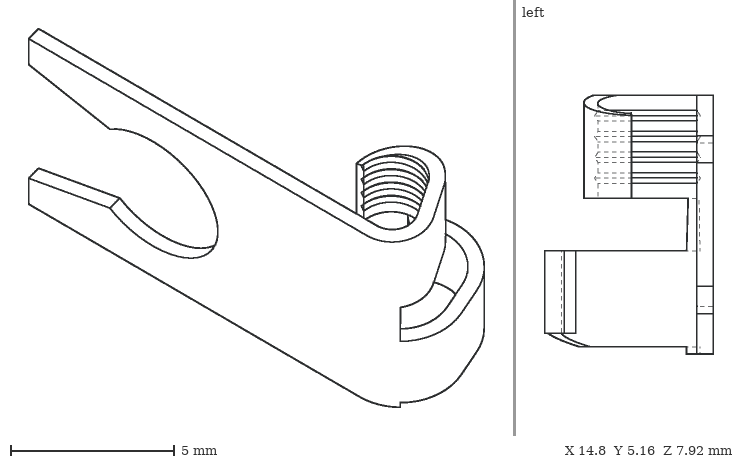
import cadquery as cq
import math

length = 14.78
height = 7.92
thickness = 0.5
mid_z = height / 2

hole_radius = 2.5
hole_x = 4.76
mouth_half_height = 2.72
throat_x = 3.12

clip_height = 3.16
upper_z = height - clip_height
root_x = 8.87

stub_end_x = 13.94

lower_bend_radius = 1.6
lower_bend_x = length - lower_bend_radius - thickness
lower_lean = 9.6
lower_straight = 1.0
lower_crest = 5.16
lower_tip_angle = 135.0
lower_step = 0.22

lead_rise = 0.41
lead_slope = 15.6
lead_x = 13.97
lead_y = 3.77
lead_direction = 131.0

upper_bend_radius = 0.8
upper_bend_x = 12.96
upper_lean = 23.0
upper_straight = 1.32
upper_crest = 3.96
upper_inner_crest = 3.53
upper_inner_tip_angle = 173.0
upper_outer_tip_angle = 177.0
upper_slope = 14.0
upper_slope_x = 13.15

groove_count = 4
groove_pitch = 0.64
groove_half_width = 0.16
groove_depth = 0.1

overshoot = 2.95


def polar(center, radius, degrees):
    angle = math.radians(degrees)
    return (center[0] + radius * math.cos(angle), center[1] + radius * math.sin(angle))


def slab(profile, z_bottom, z_top):
    """Extrude a closed XY profile between two heights."""
    return profile.extrude(z_top - z_bottom).translate((0, 0, z_bottom))


def clip_side(bend_x, bend_center_y, bend_radius, lean, straight, crest, tip_angle):
    """Points along one face of a clip: bend, leaning straight, hook."""
    bend_center = (bend_x, bend_center_y)
    bend_end = polar(bend_center, bend_radius, lean)
    hook_start = polar(bend_end, straight, 90 + lean)
    hook_radius = (crest - hook_start[1]) / (1 - math.sin(math.radians(lean)))
    hook_center = polar(hook_start, -hook_radius, lean)
    return {
        "bend_start": (bend_x, bend_center_y - bend_radius),
        "bend_mid": polar(bend_center, bend_radius, (lean - 90) / 2),
        "bend_end": bend_end,
        "hook_start": hook_start,
        "hook_mid": polar(hook_center, hook_radius, (lean + tip_angle) / 2),
        "tip": polar(hook_center, hook_radius, tip_angle),
    }


def clip_profile(inner, outer):
    """Closed outline of a clip, starting from the flat plate."""
    return (
        cq.Workplane("XY")
        .moveTo(root_x, 0)
        .lineTo(*outer["bend_start"])
        .threePointArc(outer["bend_mid"], outer["bend_end"])
        .lineTo(*outer["hook_start"])
        .threePointArc(outer["hook_mid"], outer["tip"])
        .lineTo(*inner["tip"])
        .threePointArc(inner["hook_mid"], inner["hook_start"])
        .lineTo(*inner["bend_end"])
        .threePointArc(inner["bend_mid"], inner["bend_start"])
        .lineTo(root_x, thickness)
        .close()
    )


def stub_profile(bend_x, inner_radius, z):
    """Closed outline, at height z, of a partial bend that ends square to the sheet."""
    outer_radius = inner_radius + thickness
    center = (bend_x, outer_radius)
    end = math.degrees(math.asin((stub_end_x - bend_x) / outer_radius)) - 90
    middle = (end - 90) / 2
    return (
        cq.Workplane("XY", origin=(0, 0, z))
        .moveTo(root_x, 0)
        .lineTo(bend_x, 0)
        .threePointArc(polar(center, outer_radius, middle), polar(center, outer_radius, end))
        .lineTo(*polar(center, inner_radius, end))
        .threePointArc(polar(center, inner_radius, middle), (bend_x, thickness))
        .lineTo(root_x, thickness)
        .close()
    )


def base_plate():
    plate = cq.Workplane("XY").box(root_x, thickness, height, centered=False)
    throat_half_height = math.sqrt(hole_radius**2 - (hole_x - throat_x) ** 2)
    opening = (
        cq.Workplane("XZ")
        .moveTo(0, mid_z - mouth_half_height)
        .lineTo(throat_x, mid_z - throat_half_height)
        .threePointArc((hole_x + hole_radius, mid_z), (throat_x, mid_z + throat_half_height))
        .lineTo(0, mid_z + mouth_half_height)
        .close()
        .extrude(-thickness)
    )
    return plate.cut(opening)


def middle_tab():
    """Short ruled blend from the lower clip's bend to the upper clip's bend."""
    bottom = stub_profile(lower_bend_x, lower_bend_radius, clip_height)
    top = stub_profile(upper_bend_x, upper_bend_radius, upper_z)
    twist = cq.Solid.makeLoft([bottom.val(), top.val()], True)
    return cq.Workplane("XY").add(twist)


def lower_clip():
    center_y = lower_bend_radius + thickness
    inner = clip_side(lower_bend_x, center_y, lower_bend_radius, lower_lean, lower_straight,
                      lower_crest - thickness, lower_tip_angle)
    outer = clip_side(lower_bend_x, center_y, lower_bend_radius + thickness, lower_lean,
                      lower_straight, lower_crest, lower_tip_angle)
    clip = slab(clip_profile(inner, outer), lower_step, clip_height)
    stub = slab(stub_profile(lower_bend_x, lower_bend_radius, 0), 0, lower_step)

    ramp_run = lead_rise / math.tan(math.radians(lead_slope))
    far_run = ramp_run + overshoot
    direction = math.radians(lead_direction)
    ramp_plane = cq.Plane(
        origin=(lead_x, lead_y, lower_step),
        xDir=(math.cos(direction), math.sin(direction), 0),
        normal=(math.sin(direction), -math.cos(direction), 0),
    )
    lead_in = (
        cq.Workplane(ramp_plane)
        .polyline([(0, 0), (ramp_run, lead_rise), (far_run, lead_rise), (far_run, 0)])
        .close()
        .extrude(overshoot, both=True)
    )
    return clip.cut(lead_in).union(stub)


def groove(inner, z):
    """V-shaped cutter that follows the inner face of the upper clip."""
    path = (
        cq.Workplane("XY", origin=(0, 0, z))
        .moveTo(*inner["bend_start"])
        .threePointArc(inner["bend_mid"], inner["bend_end"])
        .lineTo(*inner["hook_start"])
        .threePointArc(inner["hook_mid"], inner["tip"])
    )
    section = (
        cq.Workplane("YZ", origin=(inner["bend_start"][0], inner["bend_start"][1], z))
        .polyline([(0, -groove_half_width), (-groove_depth, 0), (0, groove_half_width)])
        .close()
    )
    return section.sweep(path)


def upper_clip():
    center_y = upper_bend_radius + thickness
    inner = clip_side(upper_bend_x, center_y, upper_bend_radius, upper_lean, upper_straight,
                      upper_inner_crest, upper_inner_tip_angle)
    outer = clip_side(upper_bend_x, center_y, upper_bend_radius + thickness, upper_lean,
                      upper_straight, upper_crest, upper_outer_tip_angle)
    clip = slab(clip_profile(inner, outer), upper_z, height)

    first_z = upper_z + (clip_height - (groove_count - 1) * groove_pitch) / 2
    for index in range(groove_count):
        clip = clip.cut(groove(inner, first_z + index * groove_pitch))

    slope_drop = overshoot * math.tan(math.radians(upper_slope))
    slope_cut = (
        cq.Workplane("XZ", origin=(upper_slope_x, upper_crest, height))
        .polyline([(0, 0), (-overshoot, -slope_drop), (-overshoot, 0)])
        .close()
        .extrude(upper_crest - center_y)
    )
    return clip.cut(slope_cut)


result = base_plate().union(middle_tab()).union(lower_clip()).union(upper_clip())